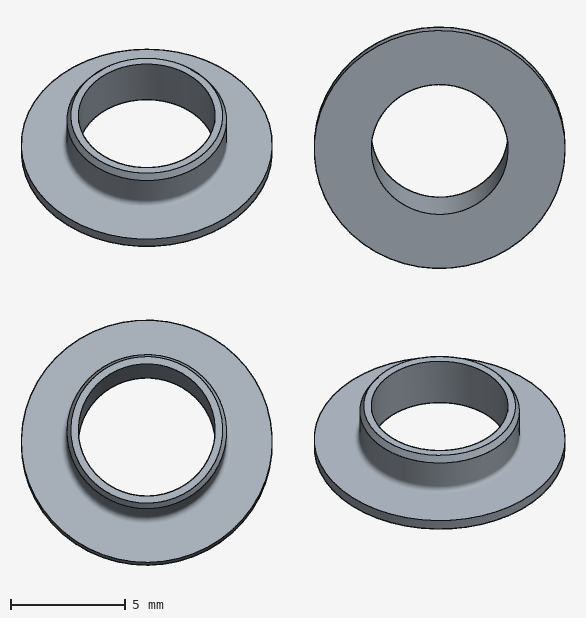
import cadquery as cq
import math

flange_diameter = 11
flange_thickness = 0.5
sleeve_diameter = 7.0
bore_diameter = 6.0
total_height = 2.4

chamfer_height = 0.3
chamfer_angle = 30
chamfer_width = chamfer_height * math.tan(math.radians(chamfer_angle))

root_fillet_radius = 0.25

flange_radius = flange_diameter / 2
sleeve_radius = sleeve_diameter / 2
bore_radius = bore_diameter / 2

fillet_inset = root_fillet_radius * (1 - math.sqrt(0.5))
fillet_middle = (sleeve_radius + fillet_inset, flange_thickness + fillet_inset)

half_section = (
    cq.Workplane("XZ")
    .moveTo(bore_radius, 0)
    .lineTo(flange_radius, 0)
    .lineTo(flange_radius, flange_thickness)
    .lineTo(sleeve_radius + root_fillet_radius, flange_thickness)
    .threePointArc(fillet_middle, (sleeve_radius, flange_thickness + root_fillet_radius))
    .lineTo(sleeve_radius, total_height - chamfer_height)
    .lineTo(sleeve_radius - chamfer_width, total_height)
    .lineTo(bore_radius, total_height)
    .close()
)

result = half_section.revolve(360, (0, 0, 0), (0, 1, 0))